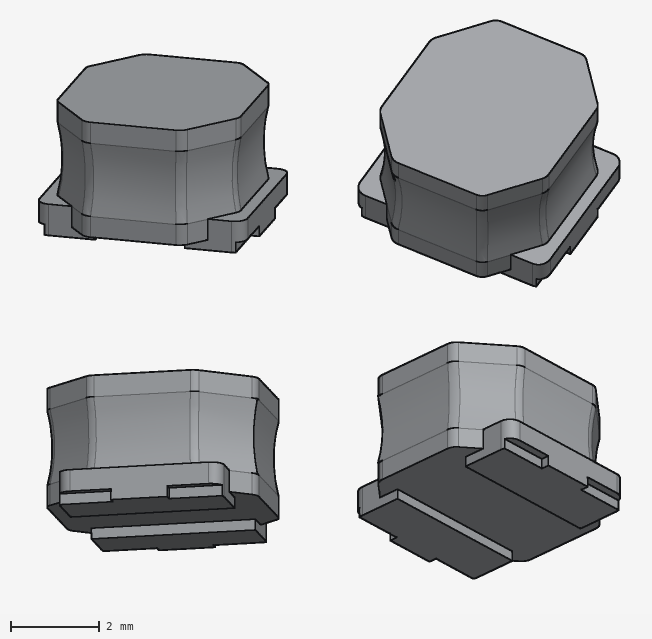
import cadquery as cq
import math

pad_thickness = 0.25
flange_thickness = 0.5
waist_height = 1.75
cap_thickness = 0.5
flange_top = pad_thickness + flange_thickness
waist_top = flange_top + waist_height

core_half_x = 2.15
core_half_y = 2.45
oblique_start_x = 1.145
oblique_start_y = 1.225
core_edge_radius = 0.3
waist_depth = 0.1

plate_length = 4.9
plate_width = 3.8
plate_corner_radius = 0.3

tab_thickness = 0.2
tab_width = 1.305
tab_height = 0.355
pad_inner_x = 1.055
pad_outer_x = plate_length / 2 - tab_thickness

core_corners = [
    (oblique_start_x, core_half_y),
    (-oblique_start_x, core_half_y),
    (-core_half_x, oblique_start_y),
    (-core_half_x, -oblique_start_y),
    (-oblique_start_x, -core_half_y),
    (oblique_start_x, -core_half_y),
    (core_half_x, -oblique_start_y),
    (core_half_x, oblique_start_y),
]


def octagon(bottom, height):
    """Sharp-edged octagonal prism."""
    return cq.Workplane("XY").workplane(offset=bottom).polyline(core_corners).close().extrude(height)


def rounded_octagon(bottom, height):
    return octagon(bottom, height).edges("|Z").fillet(core_edge_radius)


def side_hollow(start, end):
    """Shallow circular segment that hollows the octagon side from start to end."""
    run_x = end[0] - start[0]
    run_y = end[1] - start[1]
    side_length = math.hypot(run_x, run_y)
    outward = (run_y / side_length, -run_x / side_length, 0)
    middle = ((start[0] + end[0]) / 2, (start[1] + end[1]) / 2, flange_top)
    side_plane = cq.Plane(origin=middle, xDir=outward, normal=(-run_x, -run_y, 0))
    return (
        cq.Workplane(side_plane)
        .moveTo(0, 0)
        .threePointArc((-waist_depth, waist_height / 2), (0, waist_height))
        .close()
        .extrude(side_length, both=True)
    )


def waist():
    """Middle of the core, hollowed on all eight sides and rounded along its edges."""
    body = octagon(flange_top, waist_height)
    for index, corner in enumerate(core_corners):
        next_corner = core_corners[(index + 1) % len(core_corners)]
        body = body.cut(side_hollow(corner, next_corner))
    side_edges = body.edges(cq.selectors.BoxSelector(
        (-core_half_x, -core_half_y, flange_top + waist_height / 4),
        (core_half_x, core_half_y, waist_top - waist_height / 4),
    ))
    return side_edges.fillet(core_edge_radius)


def plate_layer(bottom, height):
    return (
        cq.Workplane("XY")
        .workplane(offset=bottom)
        .rect(plate_length, plate_width)
        .extrude(height)
        .edges("|Z")
        .fillet(plate_corner_radius)
    )


def terminal(direction):
    """Pad and end tab on the +X (direction 1) or -X (direction -1) end."""
    pad_length = pad_outer_x - pad_inner_x
    pad_window = (
        cq.Workplane("XY")
        .center(direction * (pad_inner_x + pad_length / 2), 0)
        .rect(pad_length, plate_width)
        .extrude(pad_thickness)
    )
    pad = plate_layer(0, pad_thickness).intersect(pad_window)
    tab = (
        cq.Workplane("XY")
        .center(direction * (pad_outer_x + tab_thickness / 2), 0)
        .rect(tab_thickness, tab_width)
        .extrude(tab_height)
    )
    return pad.union(tab)


result = rounded_octagon(pad_thickness, flange_thickness)
result = result.union(plate_layer(pad_thickness, flange_thickness))
result = result.union(waist())
result = result.union(rounded_octagon(waist_top, cap_thickness))
for end_direction in (-1, 1):
    result = result.union(terminal(end_direction))